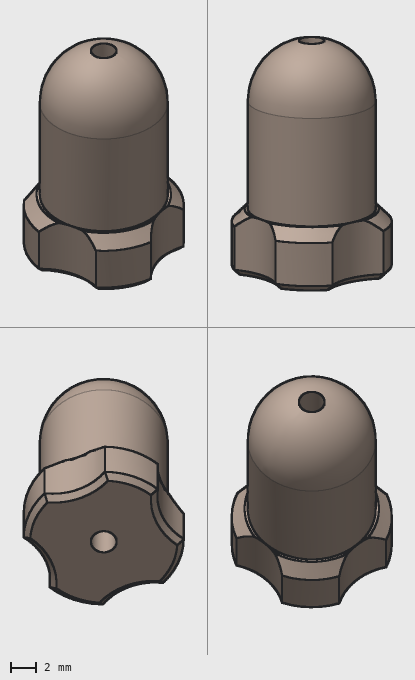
import cadquery as cq
import math

body_diameter = 10.0
body_radius = body_diameter / 2
bore_diameter = 2.0
bore_radius = bore_diameter / 2
total_height = 18.65
dome_rise = math.sqrt(body_radius**2 - bore_radius**2)
dome_base_z = total_height - dome_rise

grip_diameter = 12.5
grip_radius = grip_diameter / 2
grip_height = 5.0
top_bevel = 1.0
bottom_chamfer = top_bevel / 2
scallop_count = 4
scallop_radius = body_radius
scallop_offset = body_radius + scallop_radius


def make_grip():
    """Bevelled disc with scallops around it and a chamfer along its lower outline."""
    disc = cq.Workplane("XY").circle(grip_radius).extrude(grip_height)
    disc = disc.faces(">Z").edges().chamfer(top_bevel)
    scallops = (
        cq.Workplane("XY")
        .polarArray(scallop_offset, 0, 360, scallop_count)
        .circle(scallop_radius)
        .extrude(grip_height)
    )
    return disc.cut(scallops).faces("<Z").edges().chamfer(bottom_chamfer)


def make_body():
    """Cylinder standing on the grip, closed by a hemisphere."""
    dome_tip_z = dome_base_z + body_radius
    dome_middle_x = body_radius * math.cos(math.pi / 4)
    dome_middle_z = dome_base_z + body_radius * math.sin(math.pi / 4)
    half_profile = (
        cq.Workplane("XZ")
        .moveTo(0, grip_height)
        .lineTo(body_radius, grip_height)
        .lineTo(body_radius, dome_base_z)
        .threePointArc((dome_middle_x, dome_middle_z), (0, dome_tip_z))
        .close()
    )
    return half_profile.revolve(360, (0, 0, 0), (0, 1, 0))


def make_bore():
    """Straight hole along the whole axis, long enough to clear the dome tip."""
    return cq.Workplane("XY").circle(bore_radius).extrude(dome_base_z + body_radius)


result = make_grip().union(make_body()).cut(make_bore())